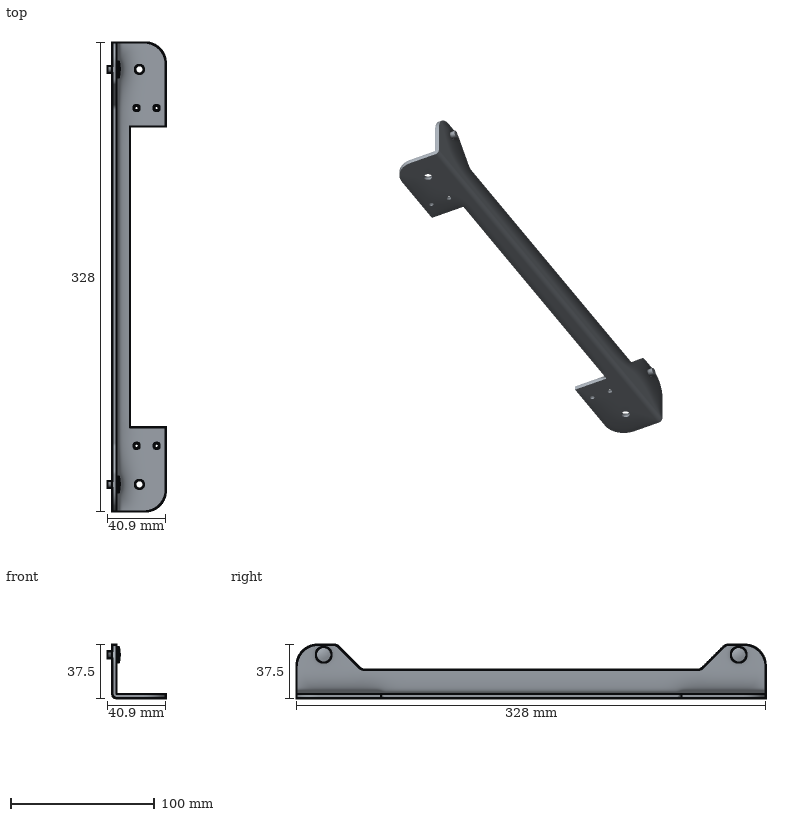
import cadquery as cq
import math

length = 328.0
leg = 37.5
thickness = 3.0
bend_inner_radius = 0.5
bend_outer_radius = 3.0
corner_radius = 15.0
half_length = length / 2

strip_width = 12.5
tab_length = 59.0
mount_hole_diameter = 6.0
mount_hole_x = 19.0
end_to_mount_hole = 19.0
screw_hole_diameter = 3.3
screw_mouth_diameter = 4.3
screw_hole_xs = (17.0, 31.0)
end_to_screw_holes = 46.0

rail_height = 20.0
ear_top_length = 28.0
ramp_run = leg - rail_height
ramp_radius = 5.0

rivet_diameter = 5.0
rivet_hole_diameter = 6.0
rivet_protrusion = 3.4
top_to_rivet = 7.1
end_to_rivet = 19.0
rivet_z = leg - top_to_rivet
rivet_y = half_length - end_to_rivet
head_diameter = 11.0
head_rim = 1.5
head_dome = 0.8

end_signs = (-1, 1)


def angle_blank():
    """L-shaped bar with a rounded bend, running the full length along Y."""
    bar = (
        cq.Workplane("XZ")
        .polyline([
            (0, 0), (leg, 0), (leg, thickness),
            (thickness, thickness), (thickness, leg), (0, leg),
        ])
        .close()
        .extrude(half_length, both=True)
    )
    bar = bar.edges(cq.selectors.NearestToPointSelector((0, 0, 0))).fillet(bend_outer_radius)
    inner_corner = cq.selectors.NearestToPointSelector((thickness, 0, thickness))
    return bar.edges(inner_corner).fillet(bend_inner_radius)


def wall_outline():
    """Volume over the wall's side shape: rounded ears and the ramps down to the rail."""
    ear_end = half_length - ear_top_length
    rail_end = ear_end - ramp_run
    outline = (
        cq.Workplane("YZ")
        .polyline([
            (-half_length, 0), (half_length, 0), (half_length, leg), (ear_end, leg),
            (rail_end, rail_height), (-rail_end, rail_height), (-ear_end, leg), (-half_length, leg),
        ])
        .close()
        .extrude(leg)
    )
    for sign in end_signs:
        outer_corner = cq.selectors.NearestToPointSelector((leg / 2, sign * half_length, leg))
        outline = outline.edges(outer_corner).fillet(corner_radius)
        for y, z in ((ear_end, leg), (rail_end, rail_height)):
            ramp_corner = cq.selectors.NearestToPointSelector((leg / 2, sign * y, z))
            outline = outline.edges(ramp_corner).fillet(ramp_radius)
    return outline


def flange_outline():
    """Volume over the flange's plan shape: rounded end tabs and the strip between them."""
    tab_end = half_length - tab_length
    outline = cq.Workplane("XY").box(leg, length, leg, centered=(False, True, False))
    outline = outline.edges("|Z and >X").fillet(corner_radius)
    notch = (
        cq.Workplane("XY")
        .box(leg - strip_width, 2 * tab_end, leg, centered=(False, True, False))
        .translate((strip_width, 0, 0))
    )
    return outline.cut(notch)


def flange_holes():
    """Cutters for the mounting hole and the two screw holes, flared at the top, in each tab."""
    mount_points = [(mount_hole_x, sign * (half_length - end_to_mount_hole)) for sign in end_signs]
    screw_points = [
        (x, sign * (half_length - end_to_screw_holes))
        for x in screw_hole_xs
        for sign in end_signs
    ]
    mouth_depth = (screw_mouth_diameter - screw_hole_diameter) / 2
    screw_hole_profile = [
        (0, 0),
        (screw_hole_diameter / 2, 0),
        (screw_hole_diameter / 2, thickness - mouth_depth),
        (screw_mouth_diameter / 2, thickness),
        (0, thickness),
    ]
    screw_hole = cq.Workplane("XZ").polyline(screw_hole_profile).close().revolve(360, (0, 0, 0), (0, 1, 0))
    cutters = cq.Workplane("XY").pushPoints(mount_points).circle(mount_hole_diameter / 2).extrude(thickness)
    for x, y in screw_points:
        cutters = cutters.union(screw_hole.translate((x, y, 0)))
    return cutters


def rivet_holes():
    """Cutters for the rivet hole in each ear."""
    points = [(sign * rivet_y, rivet_z) for sign in end_signs]
    return cq.Workplane("YZ").pushPoints(points).circle(rivet_hole_diameter / 2).extrude(thickness)


def make_bracket():
    bracket = angle_blank().intersect(wall_outline()).intersect(flange_outline())
    return bracket.cut(flange_holes()).cut(rivet_holes())


def make_rivet(y):
    """Rivet along X: plain shank through the wall, low domed head on the inner face."""
    rim_end = thickness + head_rim
    dome_radius = ((head_diameter / 2) ** 2 + head_dome ** 2) / (2 * head_dome)
    half_angle = math.asin(head_diameter / 2 / dome_radius) / 2
    dome_centre_x = rim_end + head_dome - dome_radius
    dome_middle = (
        dome_centre_x + dome_radius * math.cos(half_angle),
        dome_radius * math.sin(half_angle),
    )
    return (
        cq.Workplane("XY")
        .moveTo(-rivet_protrusion, 0)
        .lineTo(-rivet_protrusion, rivet_diameter / 2)
        .lineTo(thickness, rivet_diameter / 2)
        .lineTo(thickness, head_diameter / 2)
        .lineTo(rim_end, head_diameter / 2)
        .threePointArc(dome_middle, (rim_end + head_dome, 0))
        .close()
        .revolve(360, (0, 0, 0), (1, 0, 0))
        .translate((0, y, rivet_z))
    )


bracket = make_bracket()
rivets = [make_rivet(sign * rivet_y) for sign in end_signs]

result = cq.Compound.makeCompound([bracket.val(), *[rivet.val() for rivet in rivets]])